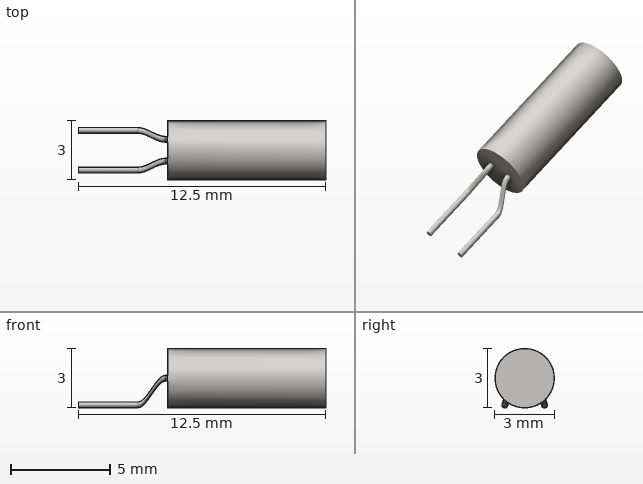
import cadquery as cq

can_length = 8.0
can_diameter = 3.0

lead_diameter = 0.3
overall_length = 12.5
tip_length = 3.0
root_length = 0.1
root_pitch = 1.1
tip_pitch = 2.0
bend_steps = 10

tip_x = can_length - overall_length
bend_outer_x = tip_x + tip_length
bend_inner_x = -root_length
tip_z = (lead_diameter - can_diameter) / 2


def straight_lead(x, y, z, length):
    """Round bar running in +X from the given centre point."""
    return cq.Workplane("YZ", origin=(x, y, z)).circle(lead_diameter / 2).extrude(length)


def lead_bend(root_y, tip_y):
    """S-bend whose circular sections all stay parallel to the YZ plane."""
    sections = []
    for step in range(bend_steps + 1):
        along = step / bend_steps
        offset = along**2 * (3 - 2 * along)
        center = cq.Vector(
            bend_inner_x + along * (bend_outer_x - bend_inner_x),
            root_y + offset * (tip_y - root_y),
            offset * tip_z,
        )
        sections.append(cq.Wire.makeCircle(lead_diameter / 2, center, cq.Vector(1, 0, 0)))
    return cq.Workplane(cq.Solid.makeLoft(sections))


def make_lead(side):
    """Complete lead on the +Y (side = 1) or -Y (side = -1) half of the can."""
    root_y = side * root_pitch / 2
    tip_y = side * tip_pitch / 2
    root = straight_lead(bend_inner_x, root_y, 0, root_length)
    tip = straight_lead(tip_x, tip_y, tip_z, tip_length)
    return root.union(lead_bend(root_y, tip_y)).union(tip)


can = cq.Workplane("YZ").circle(can_diameter / 2).extrude(can_length)
result = can.union(make_lead(1)).union(make_lead(-1))